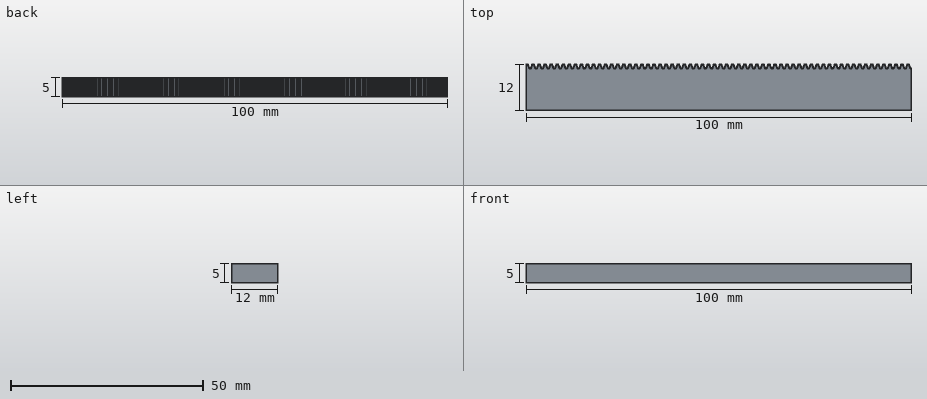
import cadquery as cq
import math

length = 100.0
width = 12.0
thickness = 5.0
module = 0.5
pressure_angle = 20.0
dedendum_factor = 1.2

pitch = math.pi * module
addendum = module
dedendum = dedendum_factor * module
flank_slope = math.tan(math.radians(pressure_angle))
tip_half_width = pitch / 4 - addendum * flank_slope
root_half_width = pitch / 4 + dedendum * flank_slope
root_y = width - addendum - dedendum

first_center = tip_half_width
last_center_limit = length - root_half_width
tooth_count = math.floor((last_center_limit - first_center) / pitch) + 1


def tooth_points(center):
    """Corners of one tooth, from its left root to its right root."""
    return [
        (center - root_half_width, root_y),
        (center - tip_half_width, width),
        (center + tip_half_width, width),
        (center + root_half_width, root_y),
    ]


def rack_outline():
    """Outline of the bar with its teeth facing +Y."""
    points = [(0, 0)] + tooth_points(first_center)[1:]
    for index in range(1, tooth_count):
        points += tooth_points(first_center + index * pitch)
    points += [(length, root_y), (length, 0)]
    return points


result = cq.Workplane("XY").polyline(rack_outline()).close().extrude(thickness)